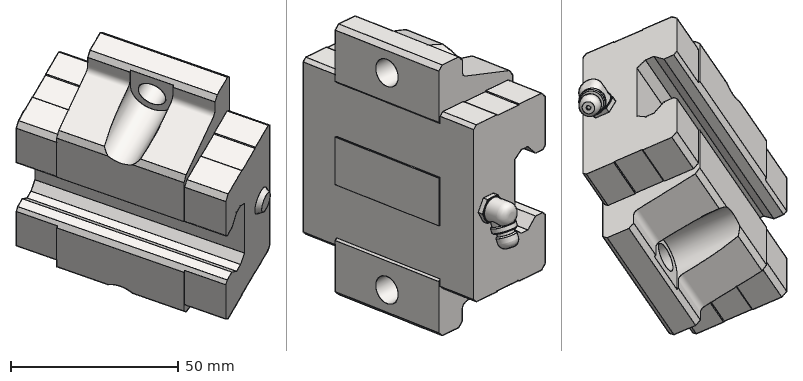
import cadquery as cq
import math


block_length = 41.8
block_height = 90.0
block_depth = 33.0
flange_depth = 10.5
flange_back_chamfer = 1.5
flange_front_chamfer = 1.6
flank_angle = 15.0
flank_fillet = 2.1
flank_end_depth = 31.5
flank_end_z = 32.3
front_edge_z = 30.3
relief_depth = 0.6
relief_inner_z = 7.9
relief_outer_z = 26.5

hole_z = 36.1
hole_diameter = 9.0
spotface_radius = 7.0
spotface_depth = 10.1

cap_outer_x = 34.4
cap_half_height = 29.4
cap_back_depth = 0.6
cap_front_depth = 32.6
cap_back_chamfer = 1.2
cap_front_chamfer = 1.7
band_start_depth = 11.1
band_end_depth = 21.0
band_inset = 0.3

channel_floor_depth = 19.0
channel_floor_z = 11.7
pocket_start_depth = 21.9
pocket_end_depth = 24.75
pocket_z = 13.9
lip_z = 10.4
lip_start_depth = pocket_end_depth + pocket_z - lip_z
lip_end_depth = 31.5

port_depth = 7.2
hex_corner_diameter = 9.2
hex_thickness = 1.7
collar_diameter = 8.3
collar_thickness = 0.3
elbow_diameter = 7.8
elbow_straight_length = 6.9
elbow_round = 2.5
nipple_axis_x = -38.7
nipple_tilt = 23.0
nipple_stem_radius = 3.4
shoulder_radius = 8.0 / 2
shoulder_start = 3.8
shoulder_end = 5.9
shoulder_chamfer = 0.4
nipple_neck_radius = 5.5 / 2
head_radius = 6.6 / 2
head_start = 7.0
head_bevel = 0.45
head_round_start = 9.3
head_round_middle = (2.9, -10.35)
tip_radius = 1.9
tip_distance = 11.2
inlet_diameter = 1.35
inlet_hole_depth = 0.9
plug_base_diameter = 8.6
plug_tip_diameter = 6.3
plug_height = 1.7


def mirrored_outline(half_outline):
    """Close a list of (y, z) points at z > 0 with its mirror image below z = 0."""
    return half_outline + [(y, -z) for y, z in reversed(half_outline)]


def extrude_along_x(outline, x_start, x_end):
    return cq.Workplane("YZ", origin=(x_start, 0, 0)).polyline(outline).close().extrude(x_end - x_start)


def make_block():
    root_z = flank_end_z + (flank_end_depth - flange_depth) * math.tan(math.radians(flank_angle))
    half_z = block_height / 2
    half_outline = [
        (0, relief_inner_z),
        (0, half_z - flange_back_chamfer),
        (-flange_back_chamfer, half_z),
        (-flange_depth + flange_front_chamfer, half_z),
        (-flange_depth, half_z - flange_front_chamfer),
        (-flange_depth, root_z),
        (-flank_end_depth, flank_end_z),
        (-block_depth, front_edge_z),
    ]
    block = extrude_along_x(mirrored_outline(half_outline), -block_length / 2, block_length / 2)
    for side in (1, -1):
        root_edge = cq.selectors.NearestToPointSelector((0, -flange_depth, side * root_z))
        block = block.edges("|X").edges(root_edge).fillet(flank_fillet)
    return block.cut(make_back_reliefs())


def make_back_reliefs():
    """Two shallow grooves, sloped on their outer side, that split the mounting face into three pads."""
    upper = [
        (0, relief_inner_z),
        (-relief_depth, relief_inner_z),
        (-relief_depth, relief_outer_z - relief_depth),
        (0, relief_outer_z),
    ]
    lower = [(y, -z) for y, z in upper]
    half_length = block_length / 2
    upper_relief = extrude_along_x(upper, -half_length, half_length)
    lower_relief = extrude_along_x(lower, -half_length, half_length)
    return upper_relief.union(lower_relief)


def cut_mounting_hole(block, side):
    """Through hole with a U-shaped spotface that opens at the flange edge."""
    center_z = side * hole_z
    front = cq.Workplane("XZ")
    hole = front.center(0, center_z).circle(hole_diameter / 2).extrude(block_depth)
    seat = front.workplane(offset=spotface_depth)
    reach = block_height / 2 - hole_z
    round_end = seat.center(0, center_z).circle(spotface_radius).extrude(block_depth)
    open_end = seat.center(0, center_z + side * reach / 2).rect(2 * spotface_radius, reach).extrude(block_depth)
    return block.cut(hole).cut(round_end).cut(open_end)


def make_cap(side):
    """End cap on the +X (side 1) or -X (side -1) end, with a shallow band on its Z faces."""
    half_outline = [
        (-cap_back_depth, cap_half_height - cap_back_chamfer),
        (-cap_back_depth - cap_back_chamfer, cap_half_height),
        (-band_start_depth, cap_half_height),
        (-band_start_depth - band_inset, cap_half_height - band_inset),
        (-band_end_depth + band_inset, cap_half_height - band_inset),
        (-band_end_depth, cap_half_height),
        (-cap_front_depth + cap_front_chamfer, cap_half_height),
        (-cap_front_depth, cap_half_height - cap_front_chamfer),
    ]
    return extrude_along_x(mirrored_outline(half_outline), side * block_length / 2, side * cap_outer_x)


def make_channel():
    half_outline = [
        (-channel_floor_depth, channel_floor_z),
        (-pocket_start_depth, pocket_z),
        (-pocket_end_depth, pocket_z),
        (-lip_start_depth, lip_z),
        (-lip_end_depth, lip_z),
        (-block_depth, lip_z + block_depth - lip_end_depth),
    ]
    return extrude_along_x(mirrored_outline(half_outline), -cap_outer_x, cap_outer_x)


def make_elbow():
    """Hexagon, thin collar and rounded elbow body of the grease fitting."""
    face = cq.Workplane("YZ", origin=(-cap_outer_x, -port_depth, 0))
    hex_base = face.polygon(6, hex_corner_diameter).extrude(-hex_thickness)
    hex_end = face.workplane(offset=-hex_thickness)
    collar = hex_end.circle(collar_diameter / 2).extrude(-collar_thickness)
    body_length = elbow_straight_length + elbow_round - hex_thickness
    body = hex_end.circle(elbow_diameter / 2).extrude(-body_length)
    return hex_base.union(collar).union(body.faces("<X").edges().fillet(elbow_round))


def make_nipple():
    """Turned nipple, drawn pointing down from the elbow axis and then tilted away from the cap."""
    nipple = (
        cq.Workplane("XZ")
        .lineTo(nipple_stem_radius, 0)
        .lineTo(nipple_stem_radius, -shoulder_start)
        .lineTo(shoulder_radius, -shoulder_start - shoulder_chamfer)
        .lineTo(shoulder_radius, -shoulder_end + shoulder_chamfer)
        .lineTo(shoulder_radius - shoulder_chamfer, -shoulder_end)
        .lineTo(nipple_neck_radius, -shoulder_end)
        .lineTo(nipple_neck_radius, -head_start)
        .lineTo(head_radius, -head_start - head_bevel)
        .lineTo(head_radius, -head_round_start)
        .threePointArc(head_round_middle, (tip_radius, -tip_distance))
        .lineTo(0, -tip_distance)
        .close()
        .revolve(360, (0, 0, 0), (0, 1, 0))
    )
    nipple = nipple.faces("<Z").workplane().hole(inlet_diameter, inlet_hole_depth)
    return nipple.rotate((0, 0, 0), (0, 1, 0), nipple_tilt).translate((nipple_axis_x, -port_depth, 0))


def make_plug():
    face = cq.Workplane("YZ", origin=(cap_outer_x, -port_depth, 0))
    base = face.circle(plug_base_diameter / 2)
    return base.workplane(offset=plug_height).circle(plug_tip_diameter / 2).loft(combine=True)


block = make_block()
for side in (1, -1):
    block = cut_mounting_hole(block, side)
carriage = block.union(make_cap(1)).union(make_cap(-1)).cut(make_channel())
result = carriage.union(make_elbow()).union(make_nipple()).union(make_plug())